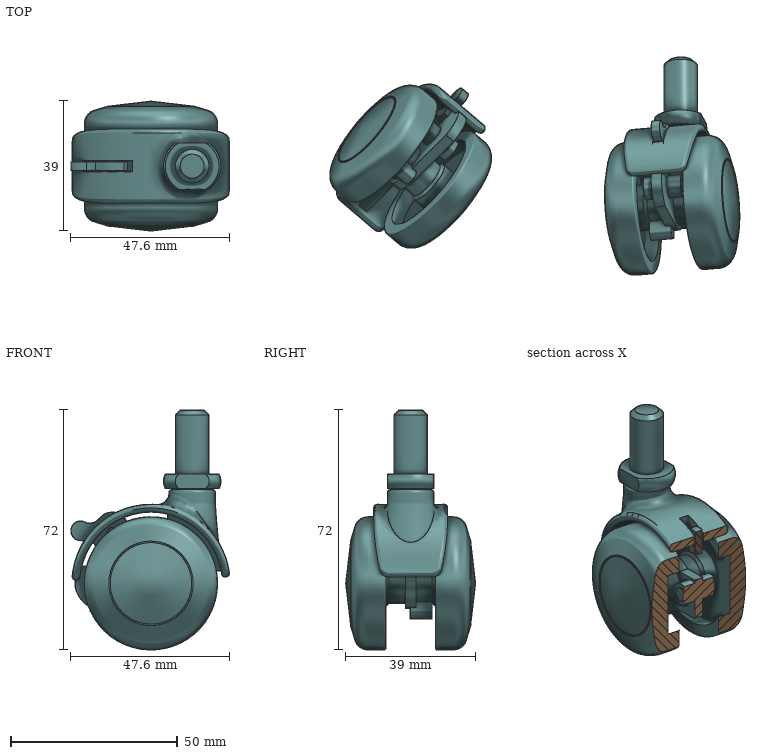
import cadquery as cq
import math


wheel_radius = 20.0
wheel_inner_y = 7.4
wheel_edge_round = 0.65
tread_end_y = 12.75
shoulder_radius = 17.4
shoulder_end_y = 16.6
shoulder_round = 4.1
groove_outer_radius = 12.7
groove_inner_radius = 12.25
cap_edge_y = 18.1
groove_depth = 0.2
apex_y = 19.5
recess_radius = 16.2
recess_depth = 4.3

axle_radius = 3.0
axle_half_length = 14.4
collar_radius = 6.05
collar_flare_radius = 6.9

shell_radius = 23.75
shell_inner_radius = 21.4
shell_half_width = 11.1
shell_edge_round = 1.1
flank_start_z = 20.15
flank_end_half_width = 8.7
front_lip_z = 1.0
rear_lip_z = 1.95
lip_corner_round = 2.5

web_half_width = 1.6
hub_radius = 6.05
hub_half_length = 6.5
hub_ring_radius = 7.55
rear_web_z = 3.75
window_floor_z = 5.25
window_rear_x = 5.05
nose_x = -22.75
nose_top_z = -1.2
nose_middle = (-21.4, -4.3)
nose_bottom_x = -17.3
boss_x = -11.5
boss_z = 1.2
boss_radius = 3.4
boss_half_length = 5.7
boss_tip_radius = 2.15
boss_tip_half_length = 6.05
leg_half_width = 2.3
leg_center_z = -8.35
leg_y_min = -0.15

stem_x = 12.4
neck_radius = 7.0
neck_top_z = 28.15
neck_top_round = 0.9
neck_taper_z = 23.8
neck_taper_angle = 4.7
neck_base_z = 10.8
neck_blend = 3.3
joint_tolerance = 0.01
spigot_radius = 3.6
spigot_depth = 5.75
nut_bottom_z = 28.45
nut_top_z = 32.8
nut_radius = 8.65
nut_face_radius = 8.1
nut_flat_y = 7.0
stem_radius = 5.05
stem_top_z = 52.0
stem_tip_radius = 3.6
stem_tip_height = 1.4

lever_half_width = 1.3
slot_half_width = 1.65
slot_x_min = -20.3
slot_x_max = -5.6
knob_x = -21.1
knob_z = 15.8
knob_radius = 2.95
lever_pivot = (-11.7, 15.3)
lever_pivot_radius = 1.45
lever_pivot_half_width = 1.7


def plate(outline, half_width):
    """Extrude an outline in the XZ plane to both sides of the middle plane."""
    return outline.extrude(half_width, both=True)


def disc(radius, half_width, x=0, z=0):
    return plate(cq.Workplane("XZ").center(x, z).circle(radius), half_width)


def make_axle():
    profile = (
        cq.Workplane("XY")
        .moveTo(0, 0)
        .lineTo(axle_radius, 0)
        .lineTo(axle_radius, hub_half_length)
        .lineTo(collar_radius, hub_half_length)
        .lineTo(collar_flare_radius, wheel_inner_y)
        .lineTo(axle_radius, wheel_inner_y)
        .lineTo(axle_radius, axle_half_length)
        .lineTo(0, axle_half_length)
        .close()
    )
    half = profile.revolve(360, (0, 0), (0, 1))
    return half.union(half.mirror("XZ"))


def make_wheel(side):
    """Wheel on the +Y side (side = 1) or on the -Y side (side = -1)."""
    center_radius = wheel_radius - shoulder_round
    end_angle = math.atan2(shoulder_end_y - tread_end_y, shoulder_radius - center_radius)
    shoulder_middle = (
        center_radius + shoulder_round * math.cos(end_angle / 2),
        tread_end_y + shoulder_round * math.sin(end_angle / 2),
    )
    recess_y = wheel_inner_y + recess_depth
    profile = (
        cq.Workplane("XY")
        .moveTo(axle_radius, wheel_inner_y)
        .lineTo(collar_flare_radius, wheel_inner_y)
        .lineTo(collar_flare_radius, recess_y)
        .lineTo(recess_radius, recess_y)
        .lineTo(recess_radius, wheel_inner_y)
        .lineTo(wheel_radius - wheel_edge_round, wheel_inner_y)
        .radiusArc((wheel_radius, wheel_inner_y + wheel_edge_round), -wheel_edge_round)
        .lineTo(wheel_radius, tread_end_y)
        .threePointArc(shoulder_middle, (shoulder_radius, shoulder_end_y))
        .lineTo(groove_outer_radius, cap_edge_y)
        .lineTo(groove_outer_radius, cap_edge_y - groove_depth)
        .lineTo(groove_inner_radius, cap_edge_y - groove_depth)
        .lineTo(groove_inner_radius, cap_edge_y)
        .lineTo(0, apex_y)
        .lineTo(0, axle_half_length)
        .lineTo(axle_radius, axle_half_length)
        .close()
    )
    wheel = profile.revolve(360, (0, 0), (0, 1))
    return wheel if side > 0 else wheel.mirror("XZ")


def make_side_cutter(lip_z, length):
    """Prism along X with the outline of the shell as seen along X."""
    top_z = shell_radius + 0.7
    half = (
        cq.Workplane("YZ")
        .moveTo(0, top_z)
        .lineTo(shell_half_width, top_z)
        .lineTo(shell_half_width, flank_start_z)
        .tangentArcPoint((flank_end_half_width, lip_z), relative=False)
        .lineTo(0, lip_z)
        .close()
        .extrude(length)
    )
    lip_corner = cq.selectors.NearestToPointSelector((length / 2, flank_end_half_width, lip_z))
    half = half.edges(lip_corner).fillet(lip_corner_round)
    return half.union(half.mirror("XZ"))


def make_shell():
    reach = shell_radius + 0.7
    wall_thickness = shell_radius - shell_inner_radius
    ring = disc(shell_radius, shell_half_width + 0.7).cut(disc(shell_inner_radius, shell_half_width + 0.7))
    outline = make_side_cutter(front_lip_z, -reach).union(make_side_cutter(rear_lip_z, reach))
    shell = ring.intersect(outline)

    def is_rim(edge):
        return edge.geomType() != "LINE" or edge.BoundingBox().ylen > wall_thickness

    return shell.edges().filter(is_rim).fillet(shell_edge_round)


def trim_inside_shell(body):
    """Remove what reaches into the hollow of the shell."""
    return body.cut(disc(shell_inner_radius, shell_half_width))


def make_neck():
    neck = (
        cq.Workplane("XY", origin=(stem_x, 0, neck_base_z))
        .circle(neck_radius)
        .extrude(neck_top_z - neck_base_z)
        .faces(">Z")
        .edges()
        .fillet(neck_top_round)
    )
    return trim_inside_shell(neck)


def make_neck_taper():
    """Cone around the lower neck; it shows at +X, where the blend into the shell is short."""
    height = neck_taper_z - neck_base_z
    base_radius = neck_radius + height * math.tan(math.radians(neck_taper_angle))
    axis = cq.Vector(0, 0, 1)
    cone = cq.Solid.makeCone(base_radius, neck_radius, height, cq.Vector(stem_x, 0, neck_base_z), axis)
    return trim_inside_shell(cq.Workplane(cone))


def make_shell_with_neck():
    body = make_shell().union(make_neck())

    def is_joint(edge):
        middle = edge.positionAt(0.5)
        on_shell = abs(math.hypot(middle.x, middle.z) - shell_radius) < joint_tolerance
        on_neck = abs(math.hypot(middle.x - stem_x, middle.y) - neck_radius) < joint_tolerance
        return on_shell and on_neck

    return body.edges().filter(is_joint).fillet(neck_blend).union(make_neck_taper())


def make_web():
    reach = shell_radius
    wall_radius = (shell_radius + shell_inner_radius) / 2
    inside = disc(wall_radius, web_half_width)
    rear = plate(
        cq.Workplane("XZ").moveTo(window_rear_x, rear_web_z).rect(reach, reach, centered=False),
        web_half_width,
    ).intersect(inside)
    nose = plate(
        cq.Workplane("XZ")
        .moveTo(0, -hub_ring_radius)
        .lineTo(nose_bottom_x, -hub_ring_radius)
        .threePointArc(nose_middle, (nose_x, nose_top_z))
        .lineTo(nose_x, window_floor_z)
        .lineTo(0, window_floor_z)
        .close(),
        web_half_width,
    )
    return rear.union(nose).union(disc(hub_ring_radius, web_half_width))


def make_leg():
    return (
        cq.Workplane("XZ", origin=(0, hub_half_length, 0))
        .moveTo(-leg_half_width, 0)
        .lineTo(-leg_half_width, leg_center_z)
        .threePointArc((0, leg_center_z - leg_half_width), (leg_half_width, leg_center_z))
        .lineTo(leg_half_width, 0)
        .close()
        .extrude(hub_half_length - leg_y_min)
    )


def make_lever_slot():
    return (
        cq.Workplane("XY")
        .box(slot_x_max - slot_x_min, 2 * slot_half_width, shell_radius, centered=(False, True, False))
        .translate((slot_x_min, 0, window_floor_z))
    )


def make_spigot():
    return (
        cq.Workplane("XY", origin=(stem_x, 0, neck_top_z - spigot_depth))
        .circle(spigot_radius)
        .extrude(spigot_depth)
    )


def make_housing():
    housing = (
        make_shell_with_neck()
        .cut(make_lever_slot())
        .union(make_web())
        .union(disc(hub_radius, hub_half_length))
        .union(disc(boss_radius, boss_half_length, boss_x, boss_z))
        .union(disc(boss_tip_radius, boss_tip_half_length, boss_x, boss_z))
        .union(make_leg())
    )
    return housing.cut(make_spigot()).cut(disc(axle_radius, hub_half_length))


def make_stem():
    seat_radius = neck_radius - neck_top_round
    nut_middle_z = (nut_bottom_z + nut_top_z) / 2
    turned = (
        cq.Workplane("XZ")
        .moveTo(0, neck_top_z)
        .lineTo(seat_radius, neck_top_z)
        .lineTo(seat_radius, nut_bottom_z)
        .lineTo(nut_face_radius, nut_bottom_z)
        .threePointArc((nut_radius, nut_middle_z), (nut_face_radius, nut_top_z))
        .lineTo(stem_radius, nut_top_z)
        .lineTo(stem_radius, stem_top_z - stem_tip_height)
        .lineTo(stem_tip_radius, stem_top_z)
        .lineTo(0, stem_top_z)
        .close()
        .revolve(360, (0, 0), (0, 1))
        .translate((stem_x, 0, 0))
    )
    flats = cq.Workplane("XY").box(4 * nut_radius, 2 * nut_flat_y, 4 * stem_top_z).translate((stem_x, 0, 0))
    return turned.intersect(flats).union(make_spigot())


def make_lever():
    arm = plate(
        cq.Workplane("XZ")
        .moveTo(knob_x, knob_z + knob_radius)
        .spline([(-18.4, 18.1), (-16.6, 18.5)], includeCurrent=True)
        .lineTo(-14.5, 20.45)
        .threePointArc((-11.1, 21.4), (-8.1, 20.0))
        .lineTo(-7.05, 18.2)
        .lineTo(-16.2, 10.65)
        .lineTo(-17.6, 12.5)
        .lineTo(knob_x, knob_z - knob_radius)
        .close(),
        lever_half_width,
    )
    knob = disc(knob_radius, lever_half_width, knob_x, knob_z)
    pivot = disc(lever_pivot_radius, lever_pivot_half_width, *lever_pivot)
    return arm.union(knob).union(pivot)


housing = make_housing()
stem = make_stem()
axle = make_axle()
wheels = [make_wheel(side) for side in (1, -1)]
lever = make_lever()

result = cq.Compound.makeCompound(
    [housing.val(), stem.val(), axle.val(), *[wheel.val() for wheel in wheels], lever.val()]
)